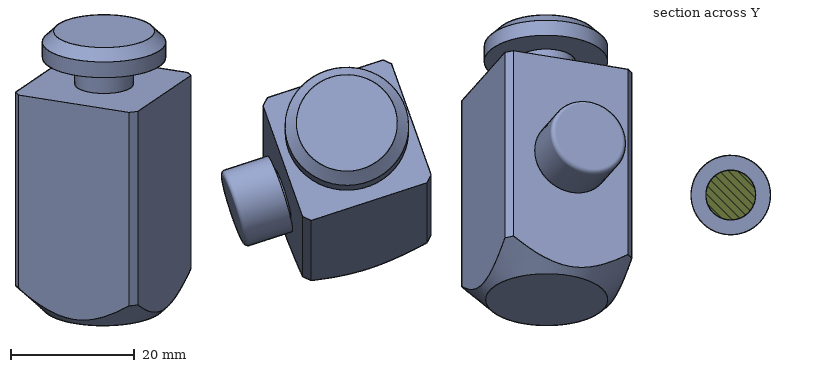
import cadquery as cq

total_height = 47.1
housing_width = 22.0
housing_edge_chamfer = 1.1
base_cone_radius = 9.9

cap_diameter = 20.0
cap_height = 4.5
cap_chamfer = 1.85
stem_diameter = 9.5
stem_height = 4.5
plunger_offset_x = 0.15

total_depth = 30.5
knob_diameter = 12.9
knob_length = 8.0
knob_edge_radius = 0.7
neck_diameter = 8.1
knob_axis_z = 20.6

housing_height = total_height - cap_height - stem_height
back_face_y = housing_width / 2
neck_length = total_depth - housing_width - knob_length


def make_housing():
    block = (
        cq.Workplane("XY")
        .rect(housing_width, housing_width)
        .extrude(housing_height)
        .edges("|Z")
        .chamfer(housing_edge_chamfer)
    )
    envelope = (
        cq.Workplane("XZ")
        .lineTo(base_cone_radius, 0)
        .lineTo(base_cone_radius + housing_height, housing_height)
        .lineTo(0, housing_height)
        .close()
        .revolve(360, (0, 0, 0), (0, 1, 0))
    )
    return block.intersect(envelope)


def make_stem():
    return (
        cq.Workplane("XY", origin=(plunger_offset_x, 0, housing_height))
        .circle(stem_diameter / 2)
        .extrude(stem_height)
    )


def make_cap():
    return (
        cq.Workplane("XY", origin=(plunger_offset_x, 0, housing_height + stem_height))
        .circle(cap_diameter / 2)
        .extrude(cap_height)
        .faces(">Z")
        .chamfer(cap_chamfer)
    )


def make_knob():
    neck = (
        cq.Workplane("XZ", origin=(0, back_face_y, knob_axis_z))
        .circle(neck_diameter / 2)
        .extrude(-neck_length)
    )
    grip = (
        cq.Workplane("XZ", origin=(0, back_face_y + neck_length, knob_axis_z))
        .circle(knob_diameter / 2)
        .extrude(-knob_length)
        .faces(">Y")
        .fillet(knob_edge_radius)
    )
    return neck.union(grip)


housing = make_housing()
stem = make_stem()
cap = make_cap()
knob = make_knob()

result = cq.Compound.makeCompound([housing.val(), stem.val(), cap.val(), knob.val()])